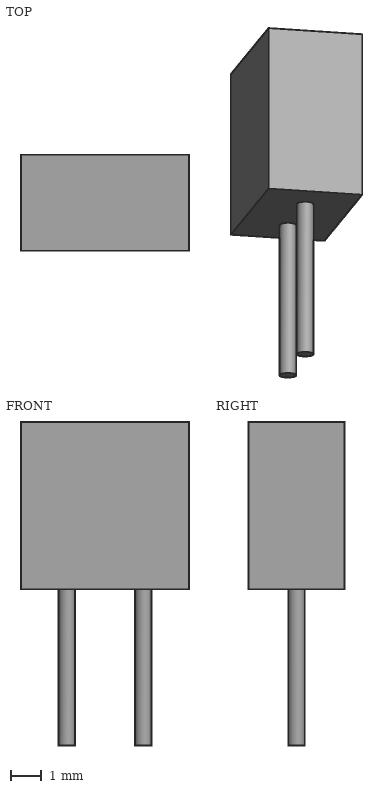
import cadquery as cq

total_height = 10.6
body_width = 5.5
body_depth = 3.15
body_height = 5.48

lead_diameter = 0.55
lead_spacing = 2.5
lead_length = total_height - body_height


def make_housing():
    """Plain rectangular block, its underside at Z = 0."""
    return cq.Workplane("XY").box(body_width, body_depth, body_height, centered=(True, True, False))


def make_lead(x):
    """Round lead hanging from the underside of the housing."""
    return cq.Workplane("XY").center(x, 0).circle(lead_diameter / 2).extrude(-lead_length)


housing = make_housing()
leads = [make_lead(side * lead_spacing / 2) for side in (-1, 1)]

result = cq.Compound.makeCompound([housing.val(), *[lead.val() for lead in leads]])